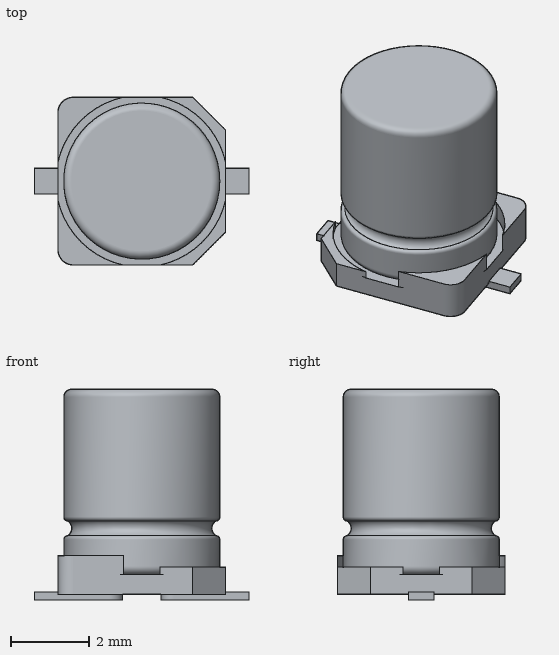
import cadquery as cq
import math

base_side = 4.3
base_bottom = 0.15
base_low_top = 0.845
base_high_top = 1.14
corner_radius = 0.4
corner_chamfer = 0.845
seat_radius = 2.2
seat_floor = 0.655

can_radius = 4.0 / 2
can_top = 5.4
can_edge_radius = 0.2
groove_center = 1.835
groove_half_height = 0.185
groove_radius = 1.8
lip_radius = 0.1

lead_span = 5.5
lead_gap = 0.98
lead_width = 0.665
lead_thickness = 0.21


def make_base():
    """Base block with lowered chamfered corners and a round seat breaking through the sides."""
    block = cq.Workplane("XY").workplane(offset=base_bottom)
    block = block.rect(base_side, base_side).extrude(base_high_top - base_bottom)
    block = block.edges("|Z and <X").fillet(corner_radius)
    block = block.edges("|Z and >X").chamfer(corner_chamfer)
    lowered_half = (
        cq.Workplane("XY")
        .workplane(offset=base_low_top)
        .rect(base_side, base_side)
        .extrude(base_high_top - base_low_top)
        .translate((base_side / 2, 0, 0))
    )
    seat = (
        cq.Workplane("XY")
        .workplane(offset=seat_floor)
        .circle(seat_radius)
        .extrude(base_high_top - seat_floor)
    )
    return block.cut(lowered_half).cut(seat)


def make_can():
    """Revolved can with rounded ends and a rolled groove near the bottom."""
    groove_bottom = groove_center - groove_half_height
    groove_top = groove_center + groove_half_height
    lip_inner = can_radius - lip_radius
    end_inner = can_radius - can_edge_radius
    lip_mid = lip_inner + lip_radius * math.sqrt(0.5)
    lip_mid_drop = lip_radius * (1 - math.sqrt(0.5))
    end_mid = end_inner + can_edge_radius * math.sqrt(0.5)
    end_mid_drop = can_edge_radius * (1 - math.sqrt(0.5))
    return (
        cq.Workplane("XZ")
        .moveTo(0, seat_floor)
        .lineTo(end_inner, seat_floor)
        .threePointArc((end_mid, seat_floor + end_mid_drop), (can_radius, seat_floor + can_edge_radius))
        .lineTo(can_radius, groove_bottom - lip_radius)
        .threePointArc((lip_mid, groove_bottom - lip_mid_drop), (lip_inner, groove_bottom))
        .threePointArc((groove_radius, groove_center), (lip_inner, groove_top))
        .threePointArc((lip_mid, groove_top + lip_mid_drop), (can_radius, groove_top + lip_radius))
        .lineTo(can_radius, can_top - can_edge_radius)
        .threePointArc((end_mid, can_top - end_mid_drop), (end_inner, can_top))
        .lineTo(0, can_top)
        .close()
        .revolve(360, (0, 0, 0), (0, 1, 0))
    )


def make_lead(side):
    """Flat lead with a semicircular inner end; side is -1 or +1 along X."""
    outer_x = side * lead_span / 2
    tip_x = side * lead_gap / 2
    round_start_x = tip_x + side * lead_width / 2
    return (
        cq.Workplane("XY")
        .moveTo(outer_x, -lead_width / 2)
        .lineTo(round_start_x, -lead_width / 2)
        .threePointArc((tip_x, 0), (round_start_x, lead_width / 2))
        .lineTo(outer_x, lead_width / 2)
        .close()
        .extrude(lead_thickness)
    )


result = make_base().union(make_can())
for lead_side in (-1, 1):
    result = result.union(make_lead(lead_side))